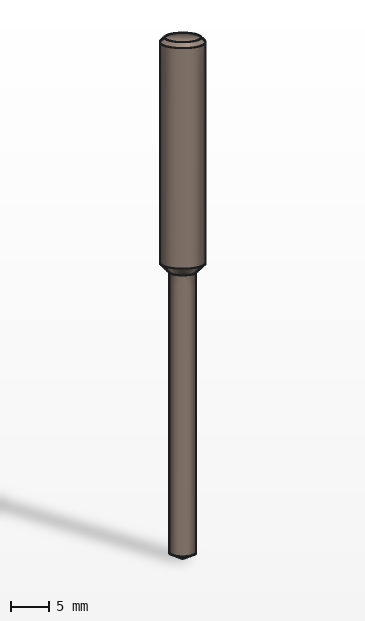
import cadquery as cq
import math

TOTAL_LENGTH = 71.0
SHANK_RADIUS = 6.0 / 2
DRILL_RADIUS = 3.55 / 2

SHANK_BOTTOM_Z = 40.3
SHANK_CHAMFER = 0.65
NECK_HEIGHT = SHANK_RADIUS - DRILL_RADIUS
NECK_BOTTOM_Z = SHANK_BOTTOM_Z - NECK_HEIGHT

POINT_ANGLE = 130.0
POINT_HEIGHT = DRILL_RADIUS / math.tan(math.radians(POINT_ANGLE / 2))


def revolve_profile(points):
    """Revolve a closed (radius, height) outline about the Z axis."""
    return cq.Workplane("XZ").polyline(points).close().revolve(360, (0, 0), (0, 1))


def make_shank():
    """Cylindrical shank with a chamfered top and a conical neck below."""
    return revolve_profile([
        (0, NECK_BOTTOM_Z),
        (DRILL_RADIUS, NECK_BOTTOM_Z),
        (SHANK_RADIUS, SHANK_BOTTOM_Z),
        (SHANK_RADIUS, TOTAL_LENGTH - SHANK_CHAMFER),
        (SHANK_RADIUS - SHANK_CHAMFER, TOTAL_LENGTH),
        (0, TOTAL_LENGTH),
    ])


def make_drill():
    """Thin cylindrical drill with a conical point, touching the neck end."""
    return revolve_profile([
        (0, 0),
        (DRILL_RADIUS, POINT_HEIGHT),
        (DRILL_RADIUS, NECK_BOTTOM_Z),
        (0, NECK_BOTTOM_Z),
    ])


shank = make_shank()
drill = make_drill()

result = cq.Compound.makeCompound([shank.val(), drill.val()])